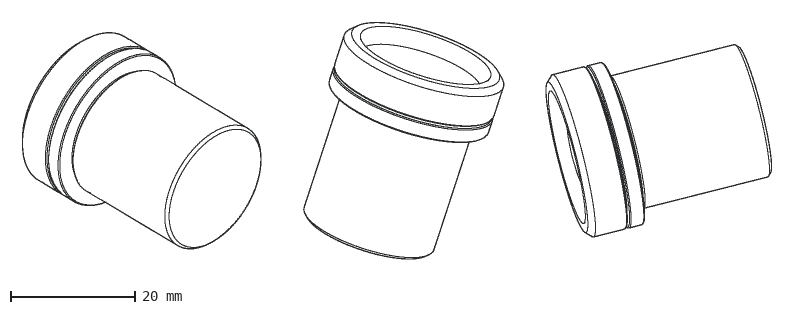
import cadquery as cq
import math

LENGTH = 31.28

RING_DIAMETER = 27.0
RING_RADIUS = RING_DIAMETER / 2
RING_END = 6.38
RING_FRONT_CHAMFER = 1.0
RIM_CHAMFER = 0.2

FLANGE_START = 6.75
FLANGE_END = 9.25
GROOVE_RADIUS = 11.75

BARREL_RADIUS = 11.0
BARREL_START = 9.75
BARREL_FRONT_CHAMFER = 0.25
BARREL_END_CHAMFER = 0.5
RELIEF_RADIUS = 10.5

OPENING_RADIUS = 11.0
SEAT_RADIUS = 10.23
CONE_DEPTH = 2.5
SEAT_DEPTH = 2.8
LENS_CURVE_RADIUS = 30.65


def disc(start, end, radius, front_chamfer=0, back_chamfer=0):
    """Cylinder on the X axis with optional chamfers on its two rims."""
    body = cq.Workplane("YZ", origin=(start, 0, 0)).circle(radius).extrude(end - start)
    if front_chamfer:
        body = body.faces("<X").chamfer(front_chamfer)
    if back_chamfer:
        body = body.faces(">X").chamfer(back_chamfer)
    return body


def front_opening():
    """Space in front of the lens, bounded at the bottom by the convex lens surface."""
    curve_centre = SEAT_DEPTH + math.sqrt(LENS_CURVE_RADIUS**2 - SEAT_RADIUS**2)
    lens_apex = curve_centre - LENS_CURVE_RADIUS
    half_edge = SEAT_RADIUS / 2
    lens_middle = curve_centre - math.sqrt(LENS_CURVE_RADIUS**2 - half_edge**2)
    return (
        cq.Workplane("XY")
        .moveTo(0, 0)
        .lineTo(0, OPENING_RADIUS)
        .lineTo(CONE_DEPTH, SEAT_RADIUS)
        .lineTo(SEAT_DEPTH, SEAT_RADIUS)
        .threePointArc((lens_middle, half_edge), (lens_apex, 0))
        .close()
        .revolve(360, (0, 0, 0), (1, 0, 0))
    )


ring = disc(0, RING_END, RING_RADIUS, RING_FRONT_CHAMFER, RIM_CHAMFER)
groove_core = disc(RING_END, FLANGE_START, GROOVE_RADIUS)
flange = disc(FLANGE_START, FLANGE_END, RING_RADIUS, RIM_CHAMFER, RIM_CHAMFER)
relief_core = disc(FLANGE_END, BARREL_START, RELIEF_RADIUS)
barrel = disc(BARREL_START, LENGTH, BARREL_RADIUS, BARREL_FRONT_CHAMFER, BARREL_END_CHAMFER)

result = ring.union(groove_core).union(flange).union(relief_core).union(barrel).cut(front_opening())